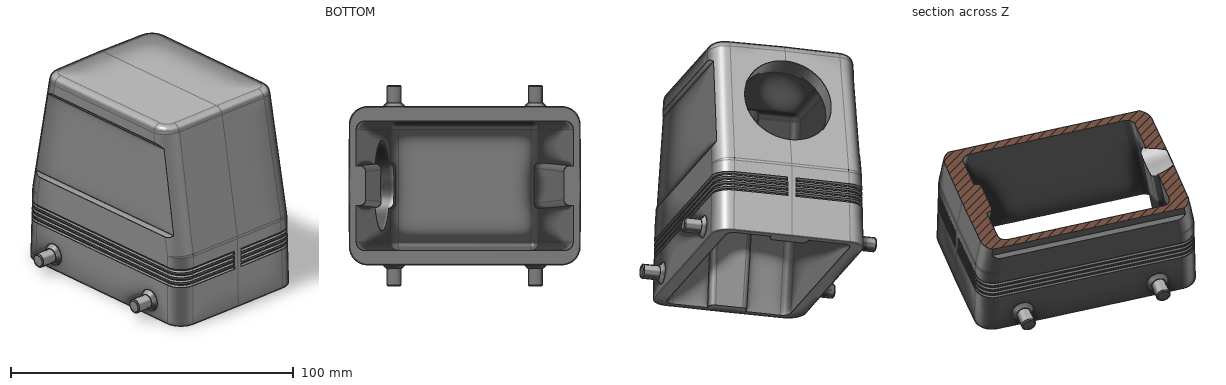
import math

import cadquery as cq

base_length = 82.0
base_width = 56.0
height = 75.0
pin_span = 71.0

wall_draft = 1.0
parting_draft = 0.5
slope_angle = 10.0
shoulder_z = 27.0

corner_radius = 6.5
shoulder_radius = 6.0
top_radius = 3.0
rim_radius = 0.3

panel_depth = 1.0
panel_bottom_z = 33.4
panel_top_z = 68.1
panel_lip = 1.4

groove_count = 4
groove_width = 1.3
groove_pitch = 1.9
groove_depth = 0.5
first_groove_z = 15.8
groove_gap = 3.0

pin_spacing = 50.0
pin_z = 6.0
pin_radius = 2.5
pin_chamfer = 0.4
collar_radius = 4.0
collar_tip_radius = 2.6
collar_tip_y = 29.3
pin_root_gap = 1.0

entry_radius = 16.0
entry_z = 52.8
entry_cut_depth = 20.0

end_wall = 6.9
panel_wall = 2.8
roof = 4.0
cavity_radius = 3.0

rib_height = 1.9
rib_face_angle = 8.5
rib_root = 2.0
rib_top_half_width = 8.3
rib_round = 2.0

wall_lean = math.tan(math.radians(wall_draft))
slope_lean = math.tan(math.radians(slope_angle))
half_length = base_length / 2
half_width = base_width / 2
shoulder_x = half_length - shoulder_z * wall_lean
top_x = shoulder_x - (height - shoulder_z) * slope_lean
cavity_half_width = half_width - height * wall_lean - panel_depth - panel_wall
floor_z = -10.0
pick_margin = 1.0


def side_y(z):
    """Half width of the drafted long sides at a height."""
    return half_width - z * wall_lean


def slope_x(z):
    """Half length of the sloped ends, extended to any height."""
    return top_x + (height - z) * slope_lean


def across_y(points, half_depth):
    """Prism of an XZ outline, centred on Y = 0."""
    return cq.Workplane("XZ").polyline(points).close().extrude(half_depth, both=True)


def along_x(points):
    """Prism of a YZ outline, running past both ends of the hood."""
    return cq.Workplane("YZ").polyline(points).close().extrude(base_length, both=True)


def mirrored(solid, plane):
    """A solid together with its mirror image."""
    return solid.union(solid.mirror(plane))


def outer_body():
    floor_x = half_length - floor_z * wall_lean
    outline = [
        (-floor_x, floor_z),
        (floor_x, floor_z),
        (shoulder_x, shoulder_z),
        (top_x, height),
        (-top_x, height),
        (-shoulder_x, shoulder_z),
    ]
    half = cq.Workplane("XZ").polyline(outline).close().extrude(base_width, taper=parting_draft)
    side_limits = [
        (0, 0),
        (-half_width, 0),
        (-side_y(height), height),
        (0, height),
    ]
    half = half.intersect(along_x(side_limits))
    corners = cq.selectors.BoxSelector(
        (-base_length, -base_width, pick_margin),
        (base_length, pick_margin - side_y(height), height - pick_margin),
    )
    half = half.edges(corners).fillet(corner_radius)
    shoulders = cq.selectors.BoxSelector(
        (-base_length, pick_margin - half_width, shoulder_z - pick_margin),
        (base_length, -pick_margin, shoulder_z + pick_margin),
    )
    half = half.edges(shoulders).fillet(shoulder_radius)
    half = half.faces(">Z").edges("not(>Y)").fillet(top_radius)
    half = half.faces("<Z").edges("not(>Y)").fillet(rim_radius)
    return mirrored(half, "XZ")


def side_panels():
    """Cutters for the panels, each parallel to its drafted long side."""
    floor_bottom_z = panel_bottom_z + panel_lip
    floor_top_z = panel_top_z - panel_lip
    section = [
        (-base_width, panel_bottom_z),
        (-side_y(panel_bottom_z), panel_bottom_z),
        (panel_depth - side_y(floor_bottom_z), floor_bottom_z),
        (panel_depth - side_y(floor_top_z), floor_top_z),
        (-side_y(panel_top_z), panel_top_z),
        (-base_width, panel_top_z),
    ]
    return mirrored(along_x(section), "XZ")


def groove(z):
    """V-shaped groove round the body, centred at a height."""
    slab = cq.Workplane("XY").box(base_length * 2, base_width * 2, groove_width)
    flank_angle = math.degrees(math.atan(2 * groove_depth / groove_width))
    middle_x = half_length - z * wall_lean - groove_depth
    corner_y = side_y(z) - groove_depth
    corner_x = middle_x - corner_y * math.tan(math.radians(parting_draft))
    waist = [
        (middle_x, 0),
        (corner_x, corner_y),
        (-corner_x, corner_y),
        (-middle_x, 0),
        (-corner_x, -corner_y),
        (corner_x, -corner_y),
    ]
    plate = cq.Workplane("XY").polyline(waist).close().extrude(groove_width / 2)
    plate = plate.edges("|Z and (>Y or <Y)").fillet(corner_radius - groove_depth)
    core = plate.faces("<Z").wires().toPending().workplane(invert=True)
    core = core.extrude(groove_width / 2, taper=-flank_angle, combine=False)
    core = mirrored(core, "XY")
    return slab.cut(core).translate((0, 0, z))


def end_gaps():
    """Keeps the middle of both ends plain; the grooves run out to it at 45 degrees."""
    middle_z = first_groove_z + (groove_count - 1) * groove_pitch / 2
    tip_x = half_length - middle_z * wall_lean + groove_gap / 2
    plan = [
        (tip_x, 0),
        (tip_x - groove_gap, groove_gap),
        (groove_gap - tip_x, groove_gap),
        (-tip_x, 0),
        (groove_gap - tip_x, -groove_gap),
        (tip_x - groove_gap, -groove_gap),
    ]
    return cq.Workplane("XY").polyline(plan).close().extrude(height)


def grooves():
    ring = groove(first_groove_z)
    for index in range(1, groove_count):
        ring = ring.union(groove(first_groove_z + index * groove_pitch))
    return ring.cut(end_gaps())


def cavity():
    outline = [
        (end_wall - slope_x(floor_z), floor_z),
        (slope_x(floor_z) - end_wall, floor_z),
        (slope_x(height - roof) - end_wall, height - roof),
        (end_wall - slope_x(height - roof), height - roof),
    ]
    hollow = across_y(outline, cavity_half_width)
    return hollow.edges("not <Z").fillet(cavity_radius)


def end_rib():
    """Rib on the inner face of the -X end, narrower towards the open bottom."""
    face_lean = math.tan(math.radians(rib_face_angle))
    entry_face_x = end_wall + rib_height - slope_x(entry_z)
    face_top = entry_face_x + (height - entry_z) * face_lean
    face_bottom = entry_face_x - entry_z * face_lean
    slab = [
        (end_wall - rib_root - slope_x(0), 0),
        (face_bottom, 0),
        (face_top, height),
        (end_wall - rib_root - slope_x(height), height),
    ]
    bottom_half_width = rib_top_half_width - height * wall_lean
    face = [
        (-bottom_half_width, 0),
        (bottom_half_width, 0),
        (rib_top_half_width, height),
        (-rib_top_half_width, height),
    ]
    rib = across_y(slab, half_width).intersect(along_x(face))
    middle_x = (face_bottom + face_top - rib_root) / 2
    front = cq.selectors.BoxSelector(
        (middle_x, -base_width, pick_margin),
        (0, base_width, height - pick_margin),
    )
    return rib.edges(front).fillet(rib_round)


def pin(x):
    """Locking pin with a conical collar, pointing towards -Y."""
    root_y = -cavity_half_width - pin_root_gap
    collar_y = -side_y(pin_z)
    tip_y = -pin_span / 2
    profile = [
        (0, root_y),
        (-collar_radius, root_y),
        (-collar_radius, collar_y),
        (-collar_tip_radius, -collar_tip_y),
        (-pin_radius, -collar_tip_y),
        (-pin_radius, tip_y + pin_chamfer),
        (pin_chamfer - pin_radius, tip_y),
        (0, tip_y),
    ]
    turned = cq.Workplane("XY").polyline(profile).close().revolve(360, (0, 0, 0), (0, 1, 0))
    return turned.translate((x, 0, pin_z))


def cable_entry():
    tilt = math.radians(slope_angle)
    inward = cq.Vector(math.cos(tilt), 0, -math.sin(tilt))
    centre = cq.Vector(-slope_x(entry_z), 0, entry_z)
    drill = cq.Solid.makeCylinder(
        entry_radius, entry_cut_depth * 2, centre - inward * entry_cut_depth, inward
    )
    return cq.Workplane(drill)


ribs = mirrored(end_rib(), "YZ")
result = outer_body().cut(side_panels()).cut(grooves())
result = result.cut(cavity().cut(ribs)).cut(cable_entry())
for pin_x in (-pin_spacing / 2, pin_spacing / 2):
    result = result.union(mirrored(pin(pin_x), "XZ"))